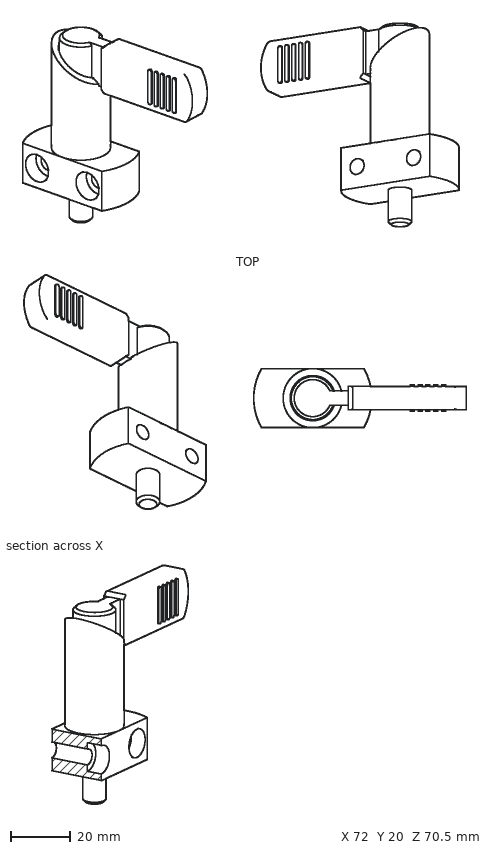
import cadquery as cq
import math

base_radius = 20.0
base_depth = base_radius
base_height = 14.9

hole_spacing = 22.0
hole_diameter = 5.5
counterbore_diameter = 10.0
counterbore_depth = 5.55

pin_diameter = 8.0
pin_length = 12.0
pin_chamfer = 1.0

overall_height = 70.5
handle_start = 12.0
handle_end = 52.0
handle_height = 18.0
handle_width = 8.0
handle_chamfer = 1.45
handle_end_radius = 15.0
handle_corner_fillet = 2.45
handle_edge_fillet = 0.5
handle_top = overall_height - pin_length
handle_middle = handle_top - handle_height / 2

rib_count = 5
rib_pitch = 2.7
rib_width = 1.4
rib_length = 13.1
rib_rise = 0.5
first_rib_x = 33.6

neck_width = 5.0
neck_height = handle_height - 2 * handle_chamfer
neck_top = handle_top - handle_chamfer

plunger_radius = 7.3
plunger_chamfer = 1.0

sleeve_radius = base_depth / 2
bore_radius = 7.6
sleeve_high_side = 55.45
sleeve_low_side = 42.4


def make_base():
    disc = cq.Workplane("XY").circle(base_radius).extrude(base_height)
    flats = cq.Workplane("XY").box(2 * base_radius, base_depth, base_height, centered=(True, True, False))
    block = disc.intersect(flats)
    return (
        block.faces("<Y")
        .workplane(origin=(0, 0, base_height / 2))
        .pushPoints([(-hole_spacing / 2, 0), (hole_spacing / 2, 0)])
        .cboreHole(hole_diameter, counterbore_diameter, counterbore_depth)
    )


def make_pin():
    pin = cq.Workplane("XY").circle(pin_diameter / 2).extrude(-pin_length)
    return pin.faces("<Z").chamfer(pin_chamfer)


def make_sleeve():
    slanted_profile = (
        cq.Workplane("XZ")
        .moveTo(-sleeve_radius, base_height)
        .lineTo(sleeve_radius, base_height)
        .lineTo(sleeve_radius, sleeve_low_side)
        .lineTo(-sleeve_radius, sleeve_high_side)
        .close()
        .extrude(sleeve_radius, both=True)
    )
    tube = (
        cq.Workplane("XY", origin=(0, 0, base_height))
        .circle(sleeve_radius)
        .circle(bore_radius)
        .extrude(sleeve_high_side - base_height)
    )
    return tube.intersect(slanted_profile)


def make_plunger():
    plunger = (
        cq.Workplane("XY", origin=(0, 0, base_height))
        .circle(plunger_radius)
        .extrude(neck_top - base_height)
    )
    return plunger.faces(">Z").chamfer(plunger_chamfer)


def make_neck():
    return cq.Workplane("XY", origin=(0, 0, neck_top - neck_height)).box(
        handle_start, neck_width, neck_height, centered=(False, True, False)
    )


def make_handle():
    half_height = handle_height / 2
    end_sag = handle_end_radius - math.sqrt(handle_end_radius**2 - half_height**2)
    corner_x = handle_end - end_sag
    outline = (
        cq.Workplane("XZ", origin=(0, 0, handle_middle))
        .moveTo(handle_start, half_height - handle_chamfer)
        .lineTo(handle_start + handle_chamfer, half_height)
        .lineTo(corner_x, half_height)
        .threePointArc((handle_end, 0), (corner_x, -half_height))
        .lineTo(handle_start + handle_chamfer, -half_height)
        .lineTo(handle_start, handle_chamfer - half_height)
        .close()
        .extrude(handle_width / 2, both=True)
    )
    plate = outline.edges("|Y").edges(">X").fillet(handle_corner_fillet)
    rounded_bar = (
        cq.Workplane("XY", origin=(0, 0, handle_middle))
        .box(2 * handle_end, handle_width, handle_height)
        .edges("|X")
        .fillet(handle_edge_fillet)
    )
    return plate.intersect(rounded_bar)


def make_ribs():
    rib_xs = [first_rib_x + i * rib_pitch for i in range(rib_count)]
    return (
        cq.Workplane("XZ", origin=(0, 0, handle_middle))
        .pushPoints([(x, 0) for x in rib_xs])
        .slot2D(rib_length, rib_width, 90)
        .extrude(handle_width / 2 + rib_rise, both=True)
    )


result = (
    make_base()
    .union(make_pin())
    .union(make_sleeve())
    .union(make_plunger())
    .union(make_neck())
    .union(make_handle())
    .union(make_ribs())
)